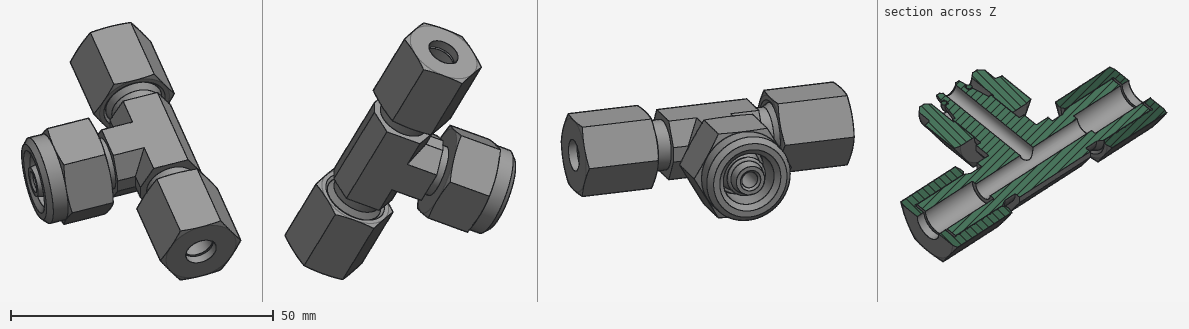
import cadquery as cq
import math

BAR_HALF_HEIGHT = 5.95
BAR_HALF_WIDTH = 6.1
BAR_FLAT_HALF_WIDTH = 3.45
BAR_SIDE_HALF_HEIGHT = 1.45
RUN_HALF_LENGTH = 9.05
BRANCH_LENGTH = 9.65

NECK_RADIUS = 4.85
THREAD_RADIUS = 5.6
THREAD_FLARE_ANGLE = 30
NECK_END = 11.65
TUBE_RADIUS = 6.1 / 2
TUBE_STOP = 12.95
FLOW_RADIUS = 4.05 / 2

STEM_RADIUS = 4.95
CONE_TIP = 24.55
CONE_TIP_RADIUS = 2.85
CONE_BASE_RADIUS = 4.3
CONE_HALF_ANGLE = 12
CONE_LENGTH = (CONE_BASE_RADIUS - CONE_TIP_RADIUS) / math.tan(math.radians(CONE_HALF_ANGLE))
CONE_BASE = CONE_TIP - CONE_LENGTH
BRANCH_BORE_RADIUS = 3.2 / 2
BRANCH_MOUTH_RADIUS = 2.05
BRANCH_MOUTH_DEPTH = 0.5

RING_WIRE_RADIUS = 0.6
RING_OUTER_RADIUS = 3.85
RING_CENTER_RADIUS = RING_OUTER_RADIUS - RING_WIRE_RADIUS
RING_FRONT_TO_TIP = 1.95
RING_POSITION = CONE_TIP - RING_FRONT_TO_TIP - RING_WIRE_RADIUS

HEX_CHAMFER_ANGLE = 15

SIDE_NUT_OUTER = 27.0
SIDE_NUT_LENGTH = 14.5
SIDE_NUT_INNER = SIDE_NUT_OUTER - SIDE_NUT_LENGTH
SIDE_NUT_FLATS = 14.05
SIDE_NUT_FLOOR = 1.75
SIDE_NUT_MOUTH_RADIUS = 6.15
TIP_GAP = 0.4
RUN_TIP = SIDE_NUT_OUTER - SIDE_NUT_FLOOR - TIP_GAP

SWIVEL_BACK = 11.45
SWIVEL_HEX_FRONT = 20.4
SWIVEL_FRONT = 24.4
SWIVEL_FLATS = 17.0
COLLAR_RADIUS = 8.4
COLLAR_CHAMFER = 1.0
SWIVEL_THREAD_RADIUS = 5.15
SWIVEL_THREAD_RUNOUT = 0.55
SWIVEL_MOUTH_RADIUS = 6.15
SWIVEL_MOUTH_DEPTH = 0.9


def revolved(profile):
    """Turn a closed (radius, height) profile about the Z axis."""
    return cq.Workplane("XZ").polyline(profile).close().revolve(360, (0, 0), (0, 1))


def cylinder(radius, start, end):
    return cq.Workplane("XY").workplane(offset=start).circle(radius).extrude(end - start)


def along_run(shape, side):
    """Lay a shape built along +Z onto the X axis, toward +X or -X."""
    return shape.rotate((0, 0, 0), (0, 1, 0), 90 * side)


def along_branch(shape):
    """Lay a shape built along +Z onto the -Y axis."""
    return shape.rotate((0, 0, 0), (1, 0, 0), 90)


def hexagon(flats, start, end):
    """Hexagonal prism along Z with corners on X, its corners chamfered at both ends."""
    flat_radius = flats / 2
    corner_radius = flat_radius / math.cos(math.pi / 6)
    drop = (corner_radius - flat_radius) * math.tan(math.radians(HEX_CHAMFER_ANGLE))
    prism = cq.Workplane("XY").workplane(offset=start).polygon(6, 2 * corner_radius).extrude(end - start)
    envelope = revolved([
        (0, start),
        (flat_radius, start),
        (corner_radius, start + drop),
        (corner_radius, end - drop),
        (flat_radius, end),
        (0, end),
    ])
    return prism.intersect(envelope)


def bar(plane, start, end):
    """Eight-sided bar whose top and bottom faces are normal to Z."""
    corners = [(BAR_FLAT_HALF_WIDTH, BAR_HALF_HEIGHT), (BAR_HALF_WIDTH, BAR_SIDE_HALF_HEIGHT)]
    right = corners + [(x, -z) for x, z in reversed(corners)]
    left = [(-x, -z) for x, z in right]
    return cq.Workplane(plane).workplane(offset=start).polyline(right + left).close().extrude(end - start)


def run_end():
    flare_length = (THREAD_RADIUS - NECK_RADIUS) / math.tan(math.radians(THREAD_FLARE_ANGLE))
    return revolved([
        (0, 0),
        (NECK_RADIUS, 0),
        (NECK_RADIUS, NECK_END),
        (THREAD_RADIUS, NECK_END + flare_length),
        (THREAD_RADIUS, RUN_TIP),
        (0, RUN_TIP),
    ])


def branch_stem():
    return revolved([
        (0, 0),
        (STEM_RADIUS, 0),
        (STEM_RADIUS, CONE_BASE),
        (CONE_BASE_RADIUS, CONE_BASE),
        (CONE_TIP_RADIUS, CONE_TIP),
        (0, CONE_TIP),
    ])


def branch_bore():
    return revolved([
        (0, 0),
        (BRANCH_BORE_RADIUS, 0),
        (BRANCH_BORE_RADIUS, CONE_TIP - BRANCH_MOUTH_DEPTH),
        (BRANCH_MOUTH_RADIUS, CONE_TIP),
        (0, CONE_TIP),
    ])


def ring_groove():
    start = RING_POSITION - RING_WIRE_RADIUS
    end = RING_POSITION + RING_WIRE_RADIUS
    bottom = cylinder(RING_CENTER_RADIUS - RING_WIRE_RADIUS, start, end)
    return cylinder(STEM_RADIUS, start, end).cut(bottom)


def make_tee():
    tee = bar("YZ", -RUN_HALF_LENGTH, RUN_HALF_LENGTH).union(bar("XZ", 0, BRANCH_LENGTH))
    for side in (1, -1):
        tee = tee.union(along_run(run_end(), side))
    tee = tee.union(along_branch(branch_stem()))
    for side in (1, -1):
        tee = tee.cut(along_run(cylinder(TUBE_RADIUS, TUBE_STOP, RUN_TIP), side))
    tee = tee.cut(along_run(cylinder(FLOW_RADIUS, -TUBE_STOP, TUBE_STOP), 1))
    return tee.cut(along_branch(branch_bore())).cut(along_branch(ring_groove()))


def make_o_ring():
    ring = (
        cq.Workplane("XZ")
        .center(RING_CENTER_RADIUS, RING_POSITION)
        .circle(RING_WIRE_RADIUS)
        .revolve(360, (-RING_CENTER_RADIUS, 0), (-RING_CENTER_RADIUS, 1))
    )
    return along_branch(ring)


def make_side_nut(side):
    thread_end = SIDE_NUT_OUTER - SIDE_NUT_FLOOR
    mouth_depth = SIDE_NUT_MOUTH_RADIUS - THREAD_RADIUS
    hole = revolved([
        (0, SIDE_NUT_INNER),
        (SIDE_NUT_MOUTH_RADIUS, SIDE_NUT_INNER),
        (THREAD_RADIUS, SIDE_NUT_INNER + mouth_depth),
        (THREAD_RADIUS, thread_end),
        (TUBE_RADIUS, thread_end),
        (TUBE_RADIUS, SIDE_NUT_OUTER),
        (0, SIDE_NUT_OUTER),
    ])
    nut = hexagon(SIDE_NUT_FLATS, SIDE_NUT_INNER, SIDE_NUT_OUTER).cut(hole)
    return along_run(nut.rotate((0, 0, 0), (0, 0, 1), 90), side)


def make_swivel_nut():
    collar = revolved([
        (0, SWIVEL_HEX_FRONT),
        (COLLAR_RADIUS, SWIVEL_HEX_FRONT),
        (COLLAR_RADIUS, SWIVEL_FRONT - COLLAR_CHAMFER),
        (COLLAR_RADIUS - COLLAR_CHAMFER, SWIVEL_FRONT),
        (0, SWIVEL_FRONT),
    ])
    thread_end = CONE_BASE - SWIVEL_THREAD_RUNOUT
    hole = revolved([
        (0, SWIVEL_BACK),
        (STEM_RADIUS, SWIVEL_BACK),
        (STEM_RADIUS, thread_end),
        (SWIVEL_THREAD_RADIUS, thread_end),
        (SWIVEL_THREAD_RADIUS, SWIVEL_FRONT - SWIVEL_MOUTH_DEPTH),
        (SWIVEL_MOUTH_RADIUS, SWIVEL_FRONT),
        (0, SWIVEL_FRONT),
    ])
    return along_branch(hexagon(SWIVEL_FLATS, SWIVEL_BACK, SWIVEL_HEX_FRONT).union(collar).cut(hole))


tee = make_tee()
side_nuts = [make_side_nut(side) for side in (1, -1)]
swivel_nut = make_swivel_nut()
o_ring = make_o_ring()

result = cq.Compound.makeCompound(
    [tee.val(), *[nut.val() for nut in side_nuts], swivel_nut.val(), o_ring.val()]
)